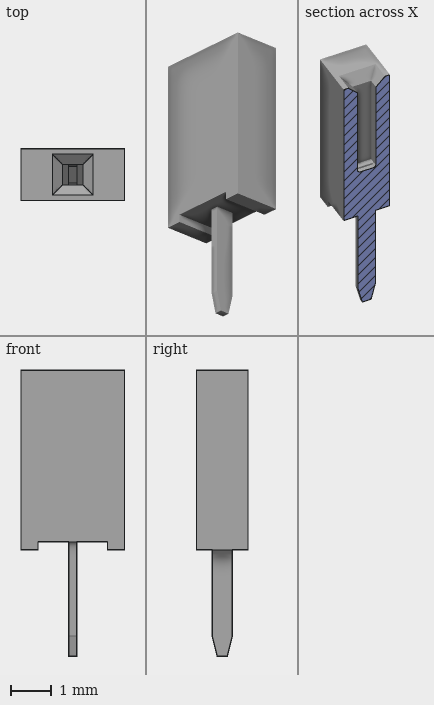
import cadquery as cq

body_length = 2.54
body_width = body_length / 2
body_height = 4.4
foot_height = 0.2
foot_length = body_length / 6
foot_gap = body_length - 2 * foot_length

mouth_size = 1.0
bore_size = 0.5
funnel_depth = (mouth_size - bore_size) / 2
bore_depth = 2.5
seat_end_width = 0.4
seat_depth = (bore_size - seat_end_width) / 2

pin_thickness = 0.2
pin_width = bore_size
pin_reach = 2.6
tip_width = pin_width / 2
tip_length = 0.5

body_top = body_height
funnel_bottom = body_top - funnel_depth
bore_bottom = funnel_bottom - bore_depth


def make_housing():
    """Block with a gap between its two feet."""
    block = cq.Workplane("XY").box(body_length, body_width, body_height, centered=(True, True, False))
    gap = cq.Workplane("XY").box(foot_gap, body_width, foot_height, centered=(True, True, False))
    return block.cut(gap)


def make_socket():
    """Square funnel leading into a straight square bore."""
    funnel = (
        cq.Workplane("XY", origin=(0, 0, funnel_bottom))
        .rect(bore_size, bore_size)
        .workplane(offset=funnel_depth)
        .rect(mouth_size, mouth_size)
        .loft(ruled=True)
    )
    bore = cq.Workplane("XY", origin=(0, 0, bore_bottom)).rect(bore_size, bore_size).extrude(bore_depth)
    return funnel.union(bore)


def make_seat():
    """Slot in the bore floor, as thick as the pin, with ends that slope inward going down."""
    return (
        cq.Workplane("XY", origin=(0, 0, bore_bottom - seat_depth))
        .rect(pin_thickness, seat_end_width)
        .workplane(offset=seat_depth)
        .rect(pin_thickness, bore_size)
        .loft(ruled=True)
    )


def make_pin():
    """Blade from the underside of the housing down to its tapered tip."""
    tip_bottom = -pin_reach
    shoulder = tip_bottom + tip_length
    outline = [
        (-pin_width / 2, foot_height),
        (-pin_width / 2, shoulder),
        (-tip_width / 2, tip_bottom),
        (tip_width / 2, tip_bottom),
        (pin_width / 2, shoulder),
        (pin_width / 2, foot_height),
    ]
    return cq.Workplane("YZ").polyline(outline).close().extrude(pin_thickness / 2, both=True)


result = make_housing().cut(make_socket()).cut(make_seat()).union(make_pin())